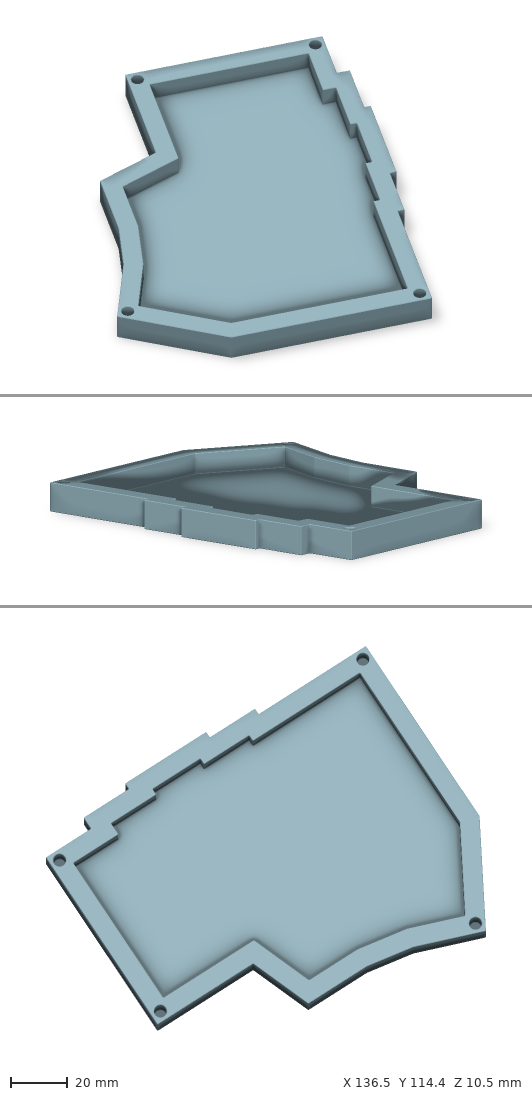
import cadquery as cq
import math

length_x = 136.54
length_y = 114.43
case_height = 10.5

wall = 7.05
cavity_depth = 7.5
floor = case_height - cavity_depth
edge_break = 0.2

key_pitch = 19.05
stagger = key_pitch / 8
crown_width = 34.2
column_1 = key_pitch
column_2 = column_1 + key_pitch
column_3 = column_2 + crown_width
column_4 = column_3 + key_pitch

front_y = -79.425
front_end_x = 40.35
thumb_front_y = -102.2
thumb_flat_length = 24.7
thumb_bend_length = 17.775
side_tilt = math.radians(20.25)
bend_angle = math.radians(10)
tip_angle = math.radians(20.3)
right_slant = math.radians(60)

hole_diameter = 4.45
hole_depth = cavity_depth
hole_corners = (0, 9, 11, 16)


def outer_outline():
    """Corner points of the case, clockwise from the left rear corner."""
    thumb_start_x = front_end_x + (front_y - thumb_front_y) * math.tan(side_tilt)
    bend_x = thumb_start_x + thumb_flat_length
    tilt_x = bend_x + thumb_bend_length * math.cos(bend_angle)
    tilt_y = thumb_front_y - thumb_bend_length * math.sin(bend_angle)
    tip_y = -length_y
    tip_x = tilt_x + (tilt_y - tip_y) / math.tan(tip_angle)
    right_end_y = tip_y + (length_x - tip_x) * math.tan(right_slant)
    return [
        (0, -3 * stagger),
        (column_1, -3 * stagger),
        (column_1, -stagger),
        (column_2, -stagger),
        (column_2, 0),
        (column_3, 0),
        (column_3, -stagger),
        (column_4, -stagger),
        (column_4, -2 * stagger),
        (length_x, -2 * stagger),
        (length_x, right_end_y),
        (tip_x, tip_y),
        (tilt_x, tilt_y),
        (bend_x, thumb_front_y),
        (thumb_start_x, thumb_front_y),
        (front_end_x, front_y),
        (0, front_y),
    ]


def inward_normal(start, end):
    """Unit normal pointing into the case from an edge of the clockwise outline."""
    run = end[0] - start[0]
    rise = end[1] - start[1]
    length = math.hypot(run, rise)
    return rise / length, -run / length


def inset_outline(points, distance):
    """Outline moved inward by the distance, with every corner kept sharp."""
    inset_points = []
    for index, point in enumerate(points):
        following = points[(index + 1) % len(points)]
        normal_in = inward_normal(points[index - 1], point)
        normal_out = inward_normal(point, following)
        alignment = normal_in[0] * normal_out[0] + normal_in[1] * normal_out[1]
        reach = distance / (1 + alignment)
        inset_points.append((
            point[0] + reach * (normal_in[0] + normal_out[0]),
            point[1] + reach * (normal_in[1] + normal_out[1]),
        ))
    return inset_points


def make_body():
    return cq.Workplane("XY").polyline(outer_outline()).close().extrude(case_height)


def make_cavity():
    outline = inset_outline(outer_outline(), wall)
    return cq.Workplane("XY", origin=(0, 0, floor)).polyline(outline).close().extrude(cavity_depth)


def make_holes():
    rim_middle = inset_outline(outer_outline(), wall / 2)
    centers = [rim_middle[corner] for corner in hole_corners]
    top_face = cq.Workplane("XY", origin=(0, 0, case_height))
    return top_face.pushPoints(centers).circle(hole_diameter / 2).extrude(-hole_depth)


case = make_body().cut(make_cavity()).cut(make_holes())
result = case.edges().chamfer(edge_break)